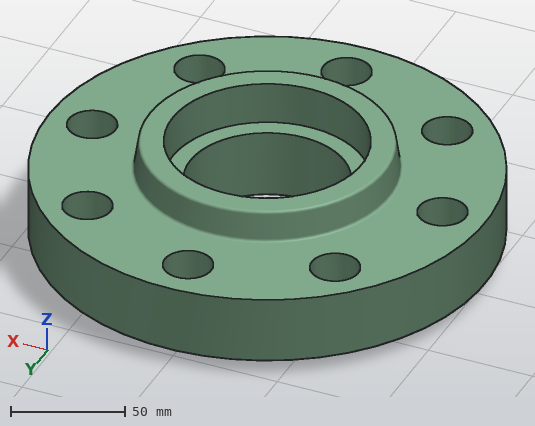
import cadquery as cq


total_height = 52.4
raised_face_height = 6.3
disc_thickness = 31.8
socket_depth = 20.1

disc_diameter = 209.5
raised_face_diameter = 127.0
hub_base_diameter = 117.1
hub_top_diameter = 112.7
socket_diameter = 90.7
bore_diameter = 73.7

hub_rounding = 1.5

bolt_hole_count = 8
bolt_hole_diameter = 22.2
bolt_circle_diameter = 168.2

disc_top = raised_face_height + disc_thickness
hub_height = total_height - disc_top


def cylinder(diameter, bottom, top):
    """Solid cylinder on the Z axis between two heights."""
    return cq.Workplane("XY").workplane(offset=bottom).circle(diameter / 2).extrude(top - bottom)


def hub_cone():
    """Tapered hub standing on the disc."""
    return (
        cq.Workplane("XY")
        .workplane(offset=disc_top)
        .circle(hub_base_diameter / 2)
        .workplane(offset=hub_height)
        .circle(hub_top_diameter / 2)
        .loft(ruled=True)
    )


def circular_edge(diameter, height):
    """Selector for the circular edge of a given diameter lying at a given height."""
    radius = diameter / 2
    margin = 0.2
    return cq.selectors.BoxSelector(
        (-radius - margin, -radius - margin, height - margin),
        (radius + margin, radius + margin, height + margin),
        boundingbox=True,
    )


def bolt_holes():
    """Ring of through holes, the first one on the +X axis."""
    return (
        cq.Workplane("XY")
        .polarArray(bolt_circle_diameter / 2, 0, 360, bolt_hole_count)
        .circle(bolt_hole_diameter / 2)
        .extrude(total_height)
    )


body = cylinder(raised_face_diameter, 0, disc_top)
body = body.union(cylinder(disc_diameter, raised_face_height, disc_top))
body = body.union(hub_cone())
body = body.edges(circular_edge(hub_top_diameter, total_height)).fillet(hub_rounding)
body = body.edges(circular_edge(hub_base_diameter, disc_top)).fillet(hub_rounding)

body = body.cut(cylinder(bore_diameter, 0, total_height))
body = body.cut(cylinder(socket_diameter, total_height - socket_depth, total_height))
result = body.cut(bolt_holes())